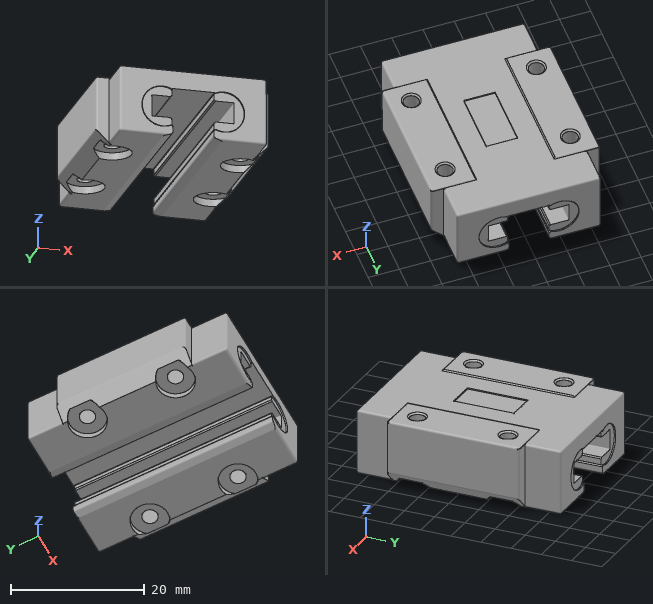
import cadquery as cq
import math

BLOCK_LENGTH = 34.0
BLOCK_WIDTH = 23.0
BLOCK_HEIGHT = 10.6
EDGE_RADIUS = 0.4

WING_SPAN = 27.0
WING_LENGTH = 22.0
WING_INNER_X = 6.2
WING_TOP = 10.8
WING_SLOPE_HEIGHT = 2.2

HOLE_SPACING_X = 20.0
HOLE_SPACING_Y = 15.0
HOLE_DIAMETER = 2.45
HOLE_CHAMFER = 0.27
COUNTERBORE_DIAMETER = 6.0
COUNTERBORE_DEPTH = 1.15

BORE_RADIUS = 3.2
BORE_X = 4.8
BORE_Z = 4.65
CHANNEL_TOP = 7.6
LIP_GAP = 6.4
LIP_SLOPE_ANGLE = 15.0
LIP_SLOPE_RUN = 1.4
LIP_TOP_CHAMFER = 0.3
LIP_BOTTOM_RADIUS = 0.48

LINER_FACE_X = 3.3
LINER_INSET = 0.25
GROOVE_FLOOR_X = 6.43
GROOVE_HEIGHT = 3.35
GROOVE_Z = 4.7
GROOVE_EDGE_CHAMFER = 0.2
GROOVE_CORNER_RADIUS = 0.15

LABEL_WIDTH = 5.0
LABEL_LENGTH = 10.0
LABEL_DEPTH = 0.2

SIDES = (-1, 1)


def prism_along_y(sketch, length):
    """Extrude an outline drawn in the XZ plane, centred on Y = 0."""
    return sketch.close().extrude(length / 2, both=True)


def bore(side, length):
    """Round bar that fills one liner bore over the given length."""
    circle = cq.Workplane("XZ").center(side * BORE_X, BORE_Z).circle(BORE_RADIUS)
    return circle.extrude(length / 2, both=True)


def block():
    box = cq.Workplane("XY").box(BLOCK_WIDTH, BLOCK_LENGTH, BLOCK_HEIGHT, centered=(True, True, False))
    return box.edges().fillet(EDGE_RADIUS)


def wing_layer(bottom, top):
    """Box that covers the wings between two heights."""
    layer = cq.Workplane("XY").box(WING_SPAN, WING_LENGTH, top - bottom, centered=(True, True, False))
    return layer.translate((0, 0, bottom))


def wing(side):
    """Wing with a rounded outer side; its inner top edge is bevelled down to the block top.

    The top edges at its two ends are rounded only above the block top.
    """
    outer_x = WING_SPAN / 2
    outline = (
        cq.Workplane("XZ")
        .moveTo(WING_INNER_X, 0)
        .lineTo(outer_x - WING_SLOPE_HEIGHT, 0)
        .lineTo(outer_x, WING_SLOPE_HEIGHT)
        .lineTo(outer_x, WING_TOP)
        .lineTo(WING_INNER_X + WING_TOP - BLOCK_HEIGHT, WING_TOP)
        .lineTo(WING_INNER_X, BLOCK_HEIGHT)
    )
    plain_wing = prism_along_y(outline, WING_LENGTH)
    base = plain_wing.faces(">X").edges().fillet(EDGE_RADIUS).intersect(wing_layer(0, BLOCK_HEIGHT))
    end_rims = plain_wing.faces(">Z").edges("|X")
    pad = plain_wing.faces(">X").edges().add(end_rims).fillet(EDGE_RADIUS)
    body = base.union(pad.intersect(wing_layer(BLOCK_HEIGHT, WING_TOP)))
    return body if side > 0 else body.mirror("YZ")


def mounting_hole():
    """Cutter for one hole with its top chamfer and underside counterbore, centred on the Z axis."""
    radius = HOLE_DIAMETER / 2
    profile = (
        cq.Workplane("XZ")
        .lineTo(COUNTERBORE_DIAMETER / 2, 0)
        .lineTo(COUNTERBORE_DIAMETER / 2, COUNTERBORE_DEPTH)
        .lineTo(radius, COUNTERBORE_DEPTH)
        .lineTo(radius, WING_TOP - HOLE_CHAMFER)
        .lineTo(radius + HOLE_CHAMFER, WING_TOP)
        .lineTo(0, WING_TOP)
        .close()
    )
    return profile.revolve(360, (0, 0, 0), (0, 1, 0))


def channel():
    """Cutter for the rail channel, the flared mouth below the lips and both liner bores."""
    lip_x = LIP_GAP / 2
    mouth_x = lip_x + LIP_SLOPE_RUN
    mouth_height = LIP_SLOPE_RUN * math.tan(math.radians(LIP_SLOPE_ANGLE))
    outline = (
        cq.Workplane("XZ")
        .moveTo(-mouth_x, 0)
        .lineTo(mouth_x, 0)
        .lineTo(lip_x, mouth_height)
        .lineTo(lip_x, BORE_Z)
        .lineTo(LINER_FACE_X, BORE_Z)
        .lineTo(LINER_FACE_X, CHANNEL_TOP)
        .lineTo(-LINER_FACE_X, CHANNEL_TOP)
        .lineTo(-LINER_FACE_X, BORE_Z)
        .lineTo(-lip_x, BORE_Z)
        .lineTo(-lip_x, mouth_height)
    )
    cutter = prism_along_y(outline, BLOCK_LENGTH)
    for side in SIDES:
        cutter = cutter.union(bore(side, BLOCK_LENGTH))
    return soften_lip_edges(cutter, lip_x, mouth_height)


def soften_lip_edges(cutter, lip_x, mouth_height):
    """Chamfer the top edge of each lip and round its bottom edge."""
    lip_top_z = BORE_Z - math.sqrt(BORE_RADIUS**2 - (BORE_X - lip_x) ** 2)
    for side in SIDES:
        top_edge = cq.NearestToPointSelector((side * lip_x, 0, lip_top_z))
        cutter = cutter.edges(top_edge).chamfer(LIP_TOP_CHAMFER)
        bottom_edge = cq.NearestToPointSelector((side * lip_x, 0, mouth_height))
        cutter = cutter.edges(bottom_edge).fillet(LIP_BOTTOM_RADIUS)
    return cutter


def label_recess():
    recess = cq.Workplane("XY").box(LABEL_WIDTH, LABEL_LENGTH, LABEL_DEPTH, centered=(True, True, False))
    return recess.translate((0, 0, BLOCK_HEIGHT - LABEL_DEPTH))


def make_carriage():
    carriage = block()
    for side in SIDES:
        carriage = carriage.union(wing(side))
    carriage = carriage.cut(channel()).cut(label_recess())
    for side_x in SIDES:
        for side_y in SIDES:
            place = (side_x * HOLE_SPACING_X / 2, side_y * HOLE_SPACING_Y / 2, 0)
            carriage = carriage.cut(mounting_hole().translate(place))
    return carriage


def make_liner(side):
    """C-shaped liner: a round bar with a flat face and a rectangular groove for the rail."""
    length = BLOCK_LENGTH - 2 * LINER_INSET
    rail_space = cq.Workplane("XY").box(2 * LINER_FACE_X, length, 2 * CHANNEL_TOP)
    groove = cq.Workplane("XY").box(2 * GROOVE_FLOOR_X, length, GROOVE_HEIGHT)
    groove = groove.edges("|Y").fillet(GROOVE_CORNER_RADIUS).translate((0, 0, GROOVE_Z))
    liner = bore(side, length).cut(rail_space).cut(groove)
    for level in SIDES:
        edge_point = (side * LINER_FACE_X, 0, GROOVE_Z + level * GROOVE_HEIGHT / 2)
        liner = liner.edges(cq.NearestToPointSelector(edge_point)).chamfer(GROOVE_EDGE_CHAMFER)
    return liner


carriage = make_carriage()
liners = [make_liner(side) for side in SIDES]

result = cq.Compound.makeCompound([carriage.val(), *[liner.val() for liner in liners]])